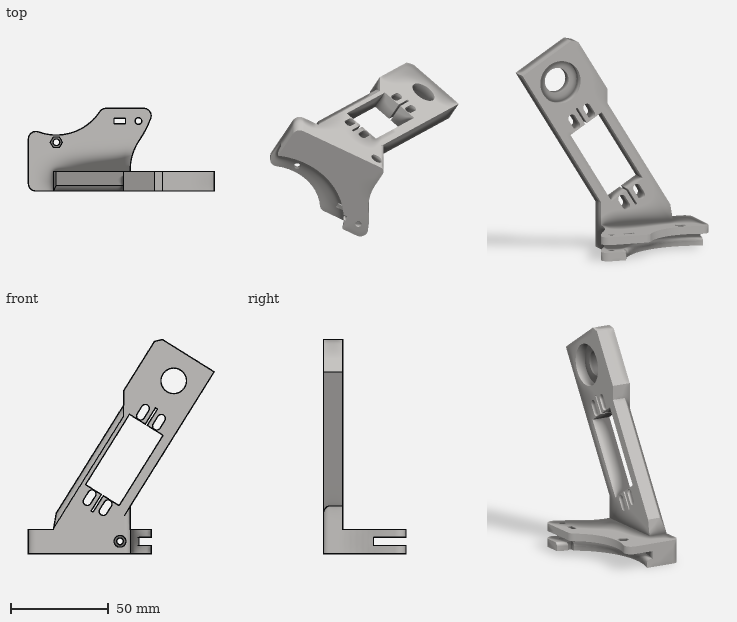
import cadquery as cq
import math

base_height = 12.5
base_depth = 42.5
lower_jaw_top = 4.4
upper_jaw_bottom = 8.5
wall_x = 52.2
corner_radius = 4.0
wall_corner_radius = 3.0
flank_radius = 26.7
rim_radius = 51.7

bay_x = 14.4
bay_y = 55.4
upper_bay_radius = 26.7
lower_bay_radius = 38.7
gap_radius = 41.7
lip_radius = 1.9
gap_turn = 36.0
gap_shelf_y = 25.8

screw_diameter = 3.3
nut_y = 25.0
nut_corner_diameter = 6.3
nut_depth = 2.0
strap_x = 46.9
strap_length = 5.7
strap_width = 2.6
rear_holes_y = 35.9
pin_x = 56.4
clamp_x = 47.0
clamp_head_diameter = 6.0
clamp_head_depth = 4.0

arm_tilt = math.radians(32.0)
arm_thickness = 10.1
arm_x = 49.2
arm_z = 48.1
arm_half_width = 15.1
arm_end = 62.7
head_half_width = 19.1
head_left_x = 48.8
edge_chamfer = 3.0
foot_top_z = 20.8
foot_x = 12.8
window_length = 42.4
window_width = 20.2
slot_length = 8.6
slot_diameter = 4.1
slot_along = 25.8
slot_across = 4.8
slit_length = 9.9
slit_width = 1.1
sight_along = 47.7
sight_diameter = 13.0
sight_recess_diameter = 22.1
sight_recess_depth = 5.5


def arm_point(along, across):
    """X and Z of a point given in the arm's own axes."""
    x = arm_x + along * math.sin(arm_tilt) + across * math.cos(arm_tilt)
    z = arm_z + along * math.cos(arm_tilt) - across * math.sin(arm_tilt)
    return x, z


def z_on_line(x, across):
    """Height of a line parallel to the arm axis at a given X."""
    line_x, line_z = arm_point(0, across)
    return line_z + (x - line_x) / math.tan(arm_tilt)


def x_on_line(z, across):
    """X of a line parallel to the arm axis at a given height."""
    line_x, line_z = arm_point(0, across)
    return line_x + (z - line_z) * math.tan(arm_tilt)


def base_layer(bottom, top):
    """Slab with the base's outline, before the bays are cut in its back edge."""
    hollow_x = wall_x + flank_radius
    centre_distance = flank_radius + rim_radius
    meeting_angle = math.acos((hollow_x - bay_x) / centre_distance)
    hollow_y = bay_y - centre_distance * math.sin(meeting_angle)

    def hollow_point(angle):
        x = hollow_x - flank_radius * math.cos(angle)
        return x, hollow_y + flank_radius * math.sin(angle)

    def rim_point(angle):
        return bay_x + rim_radius * math.cos(angle), bay_y - rim_radius * math.sin(angle)

    back_angle = math.asin((bay_y - base_depth) / rim_radius)
    layer = (
        cq.Workplane("XY", origin=(0, 0, bottom))
        .lineTo(wall_x, 0)
        .lineTo(wall_x, hollow_y)
        .threePointArc(hollow_point(meeting_angle / 2), hollow_point(meeting_angle))
        .threePointArc(rim_point((meeting_angle + back_angle) / 2), rim_point(back_angle))
        .lineTo(0, base_depth)
        .close()
        .extrude(top - bottom)
    )
    return layer.edges("|Z").edges(">X").fillet(corner_radius)


def upper_jaw():
    height = base_height - upper_jaw_bottom
    bay = (
        cq.Workplane("XY", origin=(bay_x, bay_y, upper_jaw_bottom))
        .circle(upper_bay_radius)
        .extrude(height)
    )
    jaw = base_layer(upper_jaw_bottom, base_height).cut(bay)
    bay_end_y = bay_y - math.sqrt(upper_bay_radius**2 - bay_x**2)
    bay_end_x = bay_x + math.sqrt(upper_bay_radius**2 - (bay_y - base_depth) ** 2)
    for x, y in ((0, bay_end_y), (bay_end_x, base_depth)):
        middle = (x, y, upper_jaw_bottom + height / 2)
        jaw = jaw.edges(cq.NearestToPointSelector(middle)).fillet(corner_radius)
    return jaw


def lower_jaw():
    """Lower jaw with a round bay whose top edge is rounded over."""
    lip_start_z = lower_jaw_top - lip_radius
    lip_outer = lower_bay_radius + lip_radius
    lip_middle = lip_radius * math.sqrt(0.5)
    bay = (
        cq.Workplane("XZ", origin=(bay_x, bay_y, 0))
        .lineTo(lower_bay_radius, 0)
        .lineTo(lower_bay_radius, lip_start_z)
        .threePointArc(
            (lip_outer - lip_middle, lip_start_z + lip_middle),
            (lip_outer, lower_jaw_top),
        )
        .lineTo(0, lower_jaw_top)
        .close()
        .revolve(360, (0, 0), (0, 1))
    )
    return base_layer(0, lower_jaw_top).cut(bay)


def core():
    """Layer between the jaws; its back wall is an S-curve ending in a straight shelf."""
    turn = math.radians(gap_turn)
    start_y = bay_y - math.sqrt(gap_radius**2 - bay_x**2)
    turn_x = bay_x + gap_radius * math.sin(turn)
    turn_y = bay_y - gap_radius * math.cos(turn)
    crest_radius = (gap_shelf_y - turn_y) / (1 - math.cos(turn))
    crest_x = turn_x + crest_radius * math.sin(turn)
    crest_middle = (
        crest_x - crest_radius * math.sin(turn / 2),
        gap_shelf_y - crest_radius * (1 - math.cos(turn / 2)),
    )
    beyond_x = wall_x + base_depth
    gap = (
        cq.Workplane("XY", origin=(0, 0, lower_jaw_top))
        .moveTo(0, start_y)
        .threePointArc((bay_x, bay_y - gap_radius), (turn_x, turn_y))
        .threePointArc(crest_middle, (crest_x, gap_shelf_y))
        .lineTo(beyond_x, gap_shelf_y)
        .lineTo(beyond_x, base_depth)
        .lineTo(0, base_depth)
        .close()
        .extrude(upper_jaw_bottom - lower_jaw_top)
    )
    return base_layer(lower_jaw_top, upper_jaw_bottom).cut(gap)


def arm_plate():
    """Arm outline, carried down through the base to its underside."""
    foot_top_x = x_on_line(foot_top_z, -arm_half_width)
    outline = [
        (foot_x, 0),
        (foot_x, base_height),
        (foot_top_x, foot_top_z),
        (head_left_x, z_on_line(head_left_x, -arm_half_width)),
        (head_left_x, z_on_line(head_left_x, -head_half_width)),
        arm_point(arm_end - edge_chamfer, -head_half_width),
        arm_point(arm_end, edge_chamfer - head_half_width),
        arm_point(arm_end, arm_half_width),
        (wall_x, z_on_line(wall_x, arm_half_width)),
        (wall_x, 0),
    ]
    return cq.Workplane("XZ").polyline(outline).close().extrude(-arm_thickness)


def arm_edge_chamfer():
    """Wedge along the front left edge of the arm, from its foot to the step of the head."""
    inner_z = z_on_line(head_left_x, edge_chamfer - arm_half_width)
    edge_z = z_on_line(head_left_x, -arm_half_width)
    outer_z = inner_z + 2 * (edge_z - inner_z)
    triangle = cq.Wire.makePolygon(
        [
            cq.Vector(head_left_x, 0, inner_z),
            cq.Vector(head_left_x, 0, outer_z),
            cq.Vector(head_left_x, 2 * edge_chamfer, outer_z),
        ],
        close=True,
    )
    run = head_left_x - foot_x
    down_the_arm = cq.Vector(-run, 0, -run / math.tan(arm_tilt))
    return cq.Workplane(cq.Solid.extrudeLinear(triangle, [], down_the_arm))


def arm_openings():
    """Window, mounting slots, cable slits and the round hole with its recess at the back."""
    across_axis = cq.Vector(math.cos(arm_tilt), 0, -math.sin(arm_tilt))
    face = cq.Workplane(cq.Plane((arm_x, 0, arm_z), across_axis, (0, -1, 0)))
    openings = face.rect(window_width, window_length).extrude(-arm_thickness)
    slots = [(side * slot_across, end * slot_along) for side in (-1, 1) for end in (-1, 1)]
    openings = openings.union(
        face.pushPoints(slots).slot2D(slot_length, slot_diameter, 90).extrude(-arm_thickness)
    )
    slit_span = window_length + 2 * slit_length
    openings = openings.union(face.rect(slit_width, slit_span).extrude(-arm_thickness))
    sight = face.center(0, sight_along)
    bore = sight.circle(sight_diameter / 2).extrude(-arm_thickness)
    recess = (
        sight.workplane(offset=-arm_thickness)
        .circle(sight_recess_diameter / 2)
        .extrude(sight_recess_depth)
    )
    return openings.union(bore).union(recess)


def base_openings():
    """Vertical holes behind the arm and the clamp screw hole along Y."""
    floor = cq.Workplane("XY")
    screws = [(bay_x, nut_y), (pin_x, rear_holes_y)]
    openings = floor.pushPoints(screws).circle(screw_diameter / 2).extrude(base_height)
    nut = (
        cq.Workplane("XY", origin=(bay_x, nut_y, base_height))
        .polygon(6, nut_corner_diameter)
        .extrude(-nut_depth)
    )
    strap = (
        floor.center(strap_x, rear_holes_y).rect(strap_length, strap_width).extrude(base_height)
    )
    clamp_z = (lower_jaw_top + upper_jaw_bottom) / 2
    front = cq.Workplane("XZ", origin=(clamp_x, 0, clamp_z))
    clamp = front.circle(screw_diameter / 2).extrude(-base_depth)
    clamp_head = front.circle(clamp_head_diameter / 2).extrude(-clamp_head_depth)
    return openings.union(nut).union(strap).union(clamp).union(clamp_head)


base = lower_jaw().union(core()).union(upper_jaw())
body = base.union(arm_plate().cut(arm_edge_chamfer())).clean()

for corner_x, radius in ((0, corner_radius), (wall_x, wall_corner_radius)):
    corner = cq.NearestToPointSelector((corner_x, 0, base_height / 2))
    body = body.edges("|Z").edges(corner).fillet(radius)

result = body.cut(arm_openings()).cut(base_openings())